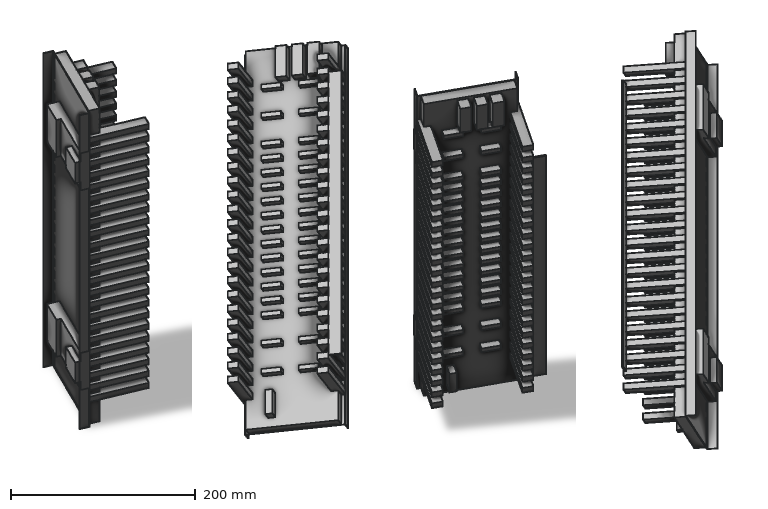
import cadquery as cq


channel_width = 113.0
channel_length = 440.0
sheet = 0.7
flange_depth = 11.7

clip_offset = 140.0
clip_height = 52.0
clip_width = 90.7
clip_depth = 9.9
clip_block_width = 28.6
clip_block_depth = 15.2
clip_pad_width = 28.0
clip_pad_height = 29.0
clip_pad_depth = 16.8

slab_width = 104.0
slab_length = 439.0
slab_depth = 13.0

finger_count = 23
finger_pitch = 16.5
finger_width = 12.2
finger_height = 7.3
finger_length = 68.3

strip_width = 14.42
strip_length = 328.3
strip_thickness = 1.8
strip_setback = 1.3

connector_height = 36.0
connector_depth = 26.5
connector_top = 216.5
connectors = [(-27.8, 13.2), (-9.9, 12.3), (8.6, 12.3)]

socket_middle_x = 22.5
socket_width = 8.0
socket_height = 28.0
socket_depth = 25.5
socket_bottom = -208.7

terminal_reach = 32.0
terminal_width = 22.0
terminal_height = 5.3
terminal_drop = 0.4
terminal_depth = 21.7
terminal_gaps = [1, 3, *range(5, 18), 19, 21]


def box(x_range, y_range, z_range):
    """Box between two X, two Y and two Z positions."""
    size = [end - start for start, end in (x_range, y_range, z_range)]
    corner = (x_range[0], y_range[0], z_range[0])
    return cq.Workplane("XY").box(*size, centered=False).translate(corner)


def around(middle, size):
    """Start and end of a stretch that is centred on a position."""
    return (middle - size / 2, middle + size / 2)


def finger_z(number):
    """Middle height of a finger, counted from 1 at the top."""
    return ((finger_count + 1) / 2 - number) * finger_pitch


def make_clip(z):
    """Stepped clip on the web, with a pad, ending at the right flange."""
    right = channel_width / 2 - sheet
    left = right - clip_width
    clip = box((left, right), (-clip_depth, -sheet), around(z, clip_height))
    block = box((left, left + clip_block_width), (-clip_block_depth, -sheet), around(z, clip_height))
    pad = box((right - clip_pad_width, right), (-clip_pad_depth, -sheet), around(z, clip_pad_height))
    return clip.union(block).union(pad)


def make_channel():
    length = around(0, channel_length)
    channel = box(around(0, channel_width), (-flange_depth, 0), length)
    inside = box(around(0, channel_width - 2 * sheet), (-flange_depth, -sheet), length)
    channel = channel.cut(inside)
    for z in (-clip_offset, clip_offset):
        channel = channel.union(make_clip(z))
    return channel


def make_terminal_block():
    block = box(around(0, slab_width), (0, slab_depth), around(0, slab_length))

    for side in (-1, 1):
        finger_x = side * (channel_width - finger_width) / 2
        for number in range(1, finger_count + 1):
            z_range = around(finger_z(number), finger_height)
            block = block.union(box(around(finger_x, finger_width), (0, finger_length), z_range))

    strip_x = (-channel_width / 2 - strip_width, -channel_width / 2)
    strip_back = finger_length - strip_setback
    block = block.union(box(strip_x, (strip_back - strip_thickness, strip_back), around(0, strip_length)))

    connector_z = (connector_top - connector_height, connector_top)
    for x, width in connectors:
        block = block.union(box(around(x, width), (0, connector_depth), connector_z))

    socket_z = (socket_bottom, socket_bottom + socket_height)
    block = block.union(box(around(socket_middle_x, socket_width), (0, socket_depth), socket_z))

    for gap in terminal_gaps:
        z_range = around(finger_z(gap + 0.5) - terminal_drop, terminal_height)
        for side in (-1, 1):
            x = side * (terminal_reach - terminal_width / 2)
            block = block.union(box(around(x, terminal_width), (0, terminal_depth), z_range))
    return block


channel = make_channel()
terminal_block = make_terminal_block()

result = cq.Compound.makeCompound([channel.val(), terminal_block.val()])